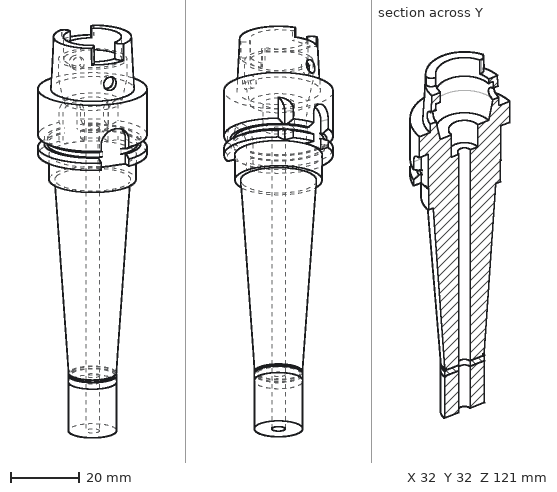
import cadquery as cq
import math

total_height = 121.0
shank_length = 16.0
collar_height = 20.0
collar_top = total_height - shank_length
collar_bottom = collar_top - collar_height
neck_bottom = 77.2
taper_bottom = 17.7
ring_top = 17.0
nut_top = 15.0

shank_base_radius = 12.23
shank_taper = 0.05
shank_top_radius = shank_base_radius - shank_length * shank_taper
collar_radius = 16.0
neck_radius = 12.8
taper_top_radius = 11.13
taper_bottom_radius = 7.03
spigot_radius = 6.5

groove_center = 89.0
groove_half_width = 0.8
groove_floor_radius = 13.3
groove_flank_radius = 14.2
groove_flank_angle = 30.0
flank_height = (collar_radius - groove_flank_radius) * math.tan(math.radians(groove_flank_angle))
groove_mouth_half_width = groove_half_width + flank_height

bore_radius = 8.5
lip_bottom = 114.3
undercut_radius = 10.0
undercut_bottom = 108.2
bore_cone_angle = 12.0
bore_cone_height = (undercut_radius - bore_radius) / math.tan(math.radians(bore_cone_angle))
bore_floor = undercut_bottom - bore_cone_height
socket_radius = 4.65
socket_depth = 8.0
passage_radius = 2.0

drive_slot_width = 7.0
left_drive_depth = 3.0
right_drive_depth = 5.0
lug_rounding = 1.7
cross_hole_radius = 2.0
cross_hole_height = 110.0

key_slot_top = 97.3
left_key_width = 7.0
right_key_width = 9.0
key_floor = 12.95
corner_notch_width = 7.0
corner_notch_floor = 9.6

nut_radius = 7.1
ring_radius = 7.15

cut_reach = collar_radius + 1.0


def turned_body():
    """Holder turned about Z, with its stepped bore."""
    mouth_top = groove_center + groove_mouth_half_width
    mouth_bottom = groove_center - groove_mouth_half_width
    floor_top = groove_center + groove_half_width
    floor_bottom = groove_center - groove_half_width
    socket_floor = bore_floor - socket_depth
    outline = [
        (passage_radius, ring_top),
        (spigot_radius, ring_top),
        (spigot_radius, taper_bottom),
        (taper_bottom_radius, taper_bottom),
        (taper_top_radius, neck_bottom),
        (neck_radius, neck_bottom),
        (neck_radius, collar_bottom),
        (collar_radius, collar_bottom),
        (collar_radius, mouth_bottom),
        (groove_flank_radius, floor_bottom),
        (groove_floor_radius, floor_bottom),
        (groove_floor_radius, floor_top),
        (groove_flank_radius, floor_top),
        (collar_radius, mouth_top),
        (collar_radius, collar_top),
        (shank_base_radius, collar_top),
        (shank_top_radius, total_height),
        (bore_radius, total_height),
        (bore_radius, lip_bottom),
        (undercut_radius, lip_bottom),
        (undercut_radius, undercut_bottom),
        (bore_radius, bore_floor),
        (socket_radius, bore_floor),
        (socket_radius, socket_floor),
        (passage_radius, socket_floor),
    ]
    return cq.Workplane("XZ").polyline(outline).close().revolve(360, (0, 0, 0), (0, 1, 0))


def drive_slot(side, depth):
    """Slot through one side of the shank rim, flaring outward around the rounded lug ends."""
    half_width = drive_slot_width / 2
    rounding_y = half_width + lug_rounding
    rounding_x = math.sqrt((shank_top_radius - lug_rounding) ** 2 - rounding_y ** 2)
    flare_x = rounding_x + lug_rounding
    outline = (
        cq.Workplane("XY", origin=(0, 0, total_height - depth))
        .moveTo(0, -half_width)
        .lineTo(side * rounding_x, -half_width)
        .radiusArc((side * flare_x, -rounding_y), side * lug_rounding)
        .lineTo(side * cut_reach, -rounding_y)
        .lineTo(side * cut_reach, rounding_y)
        .lineTo(side * flare_x, rounding_y)
        .radiusArc((side * rounding_x, half_width), side * lug_rounding)
        .lineTo(0, half_width)
        .close()
    )
    return outline.extrude(depth)


def key_slot(side, center_y, width, floor):
    """Round-topped slot cut along X into the collar, open at the collar's lower face."""
    radius = width / 2
    arch_start = key_slot_top - radius
    outline = (
        cq.Workplane("YZ", origin=(side * floor, 0, 0))
        .moveTo(center_y - radius, collar_bottom)
        .lineTo(center_y - radius, arch_start)
        .threePointArc((center_y, key_slot_top), (center_y + radius, arch_start))
        .lineTo(center_y + radius, collar_bottom)
        .close()
    )
    return outline.extrude(side * (cut_reach - floor))


def cross_hole():
    """Round hole along X through both walls of the shank."""
    start = (-cut_reach, 0, cross_hole_height)
    return cq.Workplane("YZ", origin=start).circle(cross_hole_radius).extrude(2 * cut_reach)


def make_holder():
    """Turned holder with its drive slots, cross hole and key slots."""
    holder = turned_body()
    holder = holder.cut(drive_slot(-1, left_drive_depth))
    holder = holder.cut(drive_slot(1, right_drive_depth))
    holder = holder.cut(cross_hole())
    holder = holder.cut(key_slot(-1, 0, left_key_width, key_floor))
    holder = holder.cut(key_slot(1, 0, right_key_width, key_floor))
    corner_notch_center = corner_notch_floor + corner_notch_width / 2
    return holder.cut(key_slot(-1, corner_notch_center, corner_notch_width, corner_notch_floor))


def bored_cylinder(radius, bottom, top):
    """Plain cylinder pierced by the coolant passage."""
    profile = cq.Workplane("XY", origin=(0, 0, bottom)).circle(radius).circle(passage_radius)
    return profile.extrude(top - bottom)


holder = make_holder()
ring = bored_cylinder(ring_radius, nut_top, ring_top)
nut = bored_cylinder(nut_radius, 0, nut_top)

result = cq.Compound.makeCompound([holder.val(), ring.val(), nut.val()])